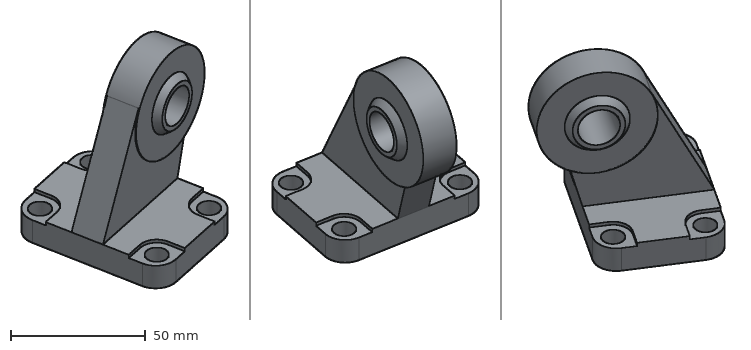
import cadquery as cq
import math

base_length = 67.0
base_width = 50.0
base_height = 12.0
base_corner_radius = 9.0

hole_diameter = 9.0
hole_edge_distance = 7.5
seat_size = 2 * hole_edge_distance
seat_corner_radius = 7.5
seat_depth = 1.5

eye_diameter = 46.0
eye_width = 15.0
eye_y = 19.5
eye_z = 50.0

bore_diameter = 16.0
ball_face_diameter = 20.0
ball_width = 21.0
ball_diameter = math.hypot(ball_face_diameter, ball_width)

web_thickness = 14.0
web_rear_lean = 15.0
web_rear_end_drop = 17.0

eye_radius = eye_diameter / 2
hole_x = base_length / 2 - hole_edge_distance
hole_y = base_width / 2 - hole_edge_distance


def cylinder_along_x(diameter, width):
    """Cylinder on the eye axis, centred on the YZ plane."""
    return (
        cq.Workplane("YZ")
        .center(eye_y, eye_z)
        .circle(diameter / 2)
        .extrude(width / 2, both=True)
    )


def make_base():
    return (
        cq.Workplane("XY")
        .rect(base_length, base_width)
        .extrude(base_height)
        .edges("|Z")
        .fillet(base_corner_radius)
    )


def make_seat_cutter(side_x, side_y):
    """Square pocket open to two sides of the base, rounded at its inner corner."""
    inner_corner = "<X" if side_x > 0 else ">X"
    inner_side = "<Y" if side_y > 0 else ">Y"
    return (
        cq.Workplane("XY")
        .workplane(offset=base_height - seat_depth)
        .center(side_x * hole_x, side_y * hole_y)
        .rect(seat_size, seat_size)
        .extrude(seat_depth)
        .faces(inner_corner)
        .edges("|Z")
        .edges(inner_side)
        .fillet(seat_corner_radius)
    )


def make_web():
    """Plate whose front edge runs tangent to the eye and whose rear edge leans back."""
    front_y = -base_width / 2
    rear_y = base_width / 2

    to_foot_y = front_y - eye_y
    to_foot_z = base_height - eye_z
    foot_angle = math.atan2(to_foot_z, to_foot_y)
    tangent_angle = foot_angle - math.acos(eye_radius / math.hypot(to_foot_y, to_foot_z))
    tangent_y = eye_y + eye_radius * math.cos(tangent_angle)
    tangent_z = eye_z + eye_radius * math.sin(tangent_angle)

    rear_top_z = eye_z - web_rear_end_drop
    rear_top_y = rear_y + (rear_top_z - base_height) * math.tan(math.radians(web_rear_lean))

    outline = [
        (front_y, base_height),
        (rear_y, base_height),
        (rear_top_y, rear_top_z),
        (eye_y, eye_z),
        (tangent_y, tangent_z),
    ]
    return cq.Workplane("YZ").polyline(outline).close().extrude(web_thickness / 2, both=True)


def make_ball():
    """Ball on the eye axis, flat at both ends, revolved from its half profile."""
    half_width = ball_width / 2
    face_radius = ball_face_diameter / 2
    return (
        cq.Workplane("XY")
        .moveTo(-half_width, 0)
        .lineTo(-half_width, face_radius)
        .threePointArc((0, ball_diameter / 2), (half_width, face_radius))
        .lineTo(half_width, 0)
        .close()
        .revolve(360, (0, 0, 0), (1, 0, 0))
        .translate((0, eye_y, eye_z))
    )


base = make_base()
for side_x in (-1, 1):
    for side_y in (-1, 1):
        base = base.cut(make_seat_cutter(side_x, side_y))

holes = (
    cq.Workplane("XY")
    .rect(2 * hole_x, 2 * hole_y, forConstruction=True)
    .vertices()
    .circle(hole_diameter / 2)
    .extrude(base_height)
)
base = base.cut(holes)

eye = cylinder_along_x(eye_diameter, eye_width)
bore = cylinder_along_x(bore_diameter, ball_width)

result = base.union(make_web()).union(eye).union(make_ball()).cut(bore)